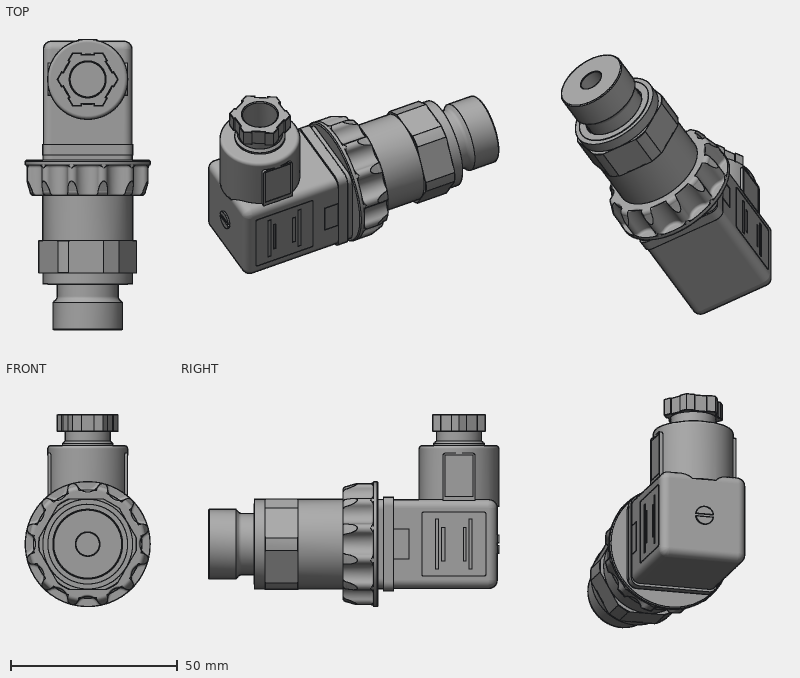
import cadquery as cq
import math


THREAD_RADIUS = 20.95 / 2
THREAD_CHAMFER = 0.3
THREAD_END = 8.2
UNDERCUT_RADIUS = 18.4 / 2
UNDERCUT_BLEND = 1.35
UNDERCUT_START = 10.0
SEAL_RADIUS = 23.9 / 2
SEAL_FACE = 13.6
SEAL_INNER_RADIUS = 9.65
SEAL_GAP_DEPTH = 1.0
COLLAR_FACE = 13.8
COLLAR_RADIUS = 26.9 / 2
BODY_RADIUS = 27.0 / 2
PORT_RADIUS = 7.0 / 2
PORT_MOUTH_RADIUS = 7.35 / 2
PORT_DEPTH = 12.0

HEX_START = 17.0
HEX_END = 26.8
HEX_ACROSS_FLATS = 27.1
HEX_CORNER_RADIUS = 14.7
HEX_EDGE_CHAMFER = 0.15
HEX_RELIEF_ANGLE = 60
HEX_RELIEF_DISTANCE = 14.07

NUT_FRONT = 40.25
NUT_FLANGE_START = 49.4
NUT_BACK = 50.85
NUT_FACE_RADIUS = 16.2
NUT_SHOULDER_RADIUS = 17.6
NUT_SHOULDER_END = 41.6
NUT_TAPER_END = 44.6
NUT_FLANGE_RADIUS = 37.49 / 2
NUT_LIP = 0.35
SCALLOP_COUNT = 12
SCALLOP_RADIUS = 7.35 / 2
SCALLOP_FLOOR = 15.6
SCALLOP_CENTER = SCALLOP_FLOOR + SCALLOP_RADIUS
SCALLOP_END_FILLET = 0.9
SCALLOP_FRONT_FILLET = 0.5
RIDGE_ANGLE = math.pi / SCALLOP_COUNT
NUT_RIDGE_TIP = 18.7
GRIP_CUTTER_RADIUS = 22.0

HOUSING_END = 86.5
HOUSING_SIDE = 26.6
HOUSING_FILLET = 2.5
HOUSING_END_FILLET = 2.49
NECK_SIDE = 26.8
NECK_CORNER = 3.0
BAND_START = 52.4
BAND_END = 55.5
BAND_WIDTH = 27.0
BAND_HEIGHT = 28.1
BAND_CORNER = 2.6

PANEL_SIDE = 19.2
PANEL_CENTER = 73.5
PANEL_CORNER = 0.6
PANEL_DEPTH = 0.1
BAR_DEPTH = 0.2
LONG_BAR = 15.0
SHORT_BAR = 10.0
BAR_WIDTH = 0.95
NARROW_BAR_WIDTH = 0.65
BARS = (
    (78.5, BAR_WIDTH, LONG_BAR),
    (76.75, NARROW_BAR_WIDTH, SHORT_BAR),
    (70.3, BAR_WIDTH, SHORT_BAR),
    (68.45, BAR_WIDTH, LONG_BAR),
)
LATCH_LENGTH = 4.5
LATCH_HEIGHT = 9.0
LATCH_DEPTH = 0.1

SCREW_RADIUS = 5.5 / 2
SCREW_SLOT = 0.8
TOTAL_LENGTH = 87.05
SCREW_HEIGHT = TOTAL_LENGTH - HOUSING_END

TOWER_RADIUS = 24.0 / 2
TOWER_Y = TOTAL_LENGTH - TOWER_RADIUS
TOWER_BOTTOM = 11.3
TOWER_TOP = 29.5
TOWER_FILLET = 1.0
PAD_REACH = 11.95
PAD_LENGTH = 9.7
PAD_TOP = 27.3
PAD_CORNER = 1.0
PAD_RIM = 0.65
PAD_WINDOW_BOTTOM = 14.3
PAD_WINDOW_DEPTH = 0.1

GLAND_FOOT_RADIUS = 15.15 / 2
GLAND_FOOT_TOP = 30.1
GLAND_CONE_TOP = 30.9
GLAND_NECK_RADIUS = 13.6 / 2
GLAND_NUT_BOTTOM = 33.7
TOTAL_HEIGHT = 57.53
GLAND_TOP = TOTAL_HEIGHT - NUT_FLANGE_RADIUS
GLAND_ACROSS_FLATS = 15.8
GLAND_NOTCH_WIDTH = 3.8
GLAND_NOTCH_DEPTH = 0.5
GLAND_EDGE_CHAMFER = 0.15
GLAND_BORE_RADIUS = 10.5 / 2
GLAND_MOUTH_RADIUS = 11.1 / 2
GLAND_BORE_DEPTH = 12.0

MOUTH_ANGLE = 45
HEX_SIDES = 6


def y_plane(y):
    """Sketch plane at the given y, extruding toward +Y; local y is Z."""
    return cq.Workplane(cq.Plane(origin=(0, y, 0), xDir=(-1, 0, 0), normal=(0, 1, 0)))


def hexagon(workplane, across_flats, height):
    """Hexagonal prism with corners on the local x axis."""
    return workplane.polygon(HEX_SIDES, across_flats / math.cos(math.pi / HEX_SIDES)).extrude(height)


def y_block(start, end, width, height, corner):
    """Block along Y with rounded long edges."""
    block = y_plane(start).rect(width, height).extrude(end - start)
    return block.edges("|Y").fillet(corner)


def both_sides(shape):
    """The shape together with its mirror image across x = 0."""
    return shape.union(shape.mirror("YZ"))


def make_body():
    blend_center = UNDERCUT_RADIUS + UNDERCUT_BLEND
    blend_points = [
        (
            blend_center - UNDERCUT_BLEND * math.cos(angle),
            UNDERCUT_START - UNDERCUT_BLEND * math.sin(angle),
        )
        for angle in (math.pi / 4, math.pi / 8, 0)
    ]
    profile = (
        cq.Workplane("XY")
        .lineTo(THREAD_RADIUS - THREAD_CHAMFER, 0)
        .lineTo(THREAD_RADIUS, THREAD_CHAMFER)
        .lineTo(THREAD_RADIUS, THREAD_END)
        .lineTo(*blend_points[0])
        .threePointArc(*blend_points[1:])
        .lineTo(UNDERCUT_RADIUS, SEAL_FACE + SEAL_GAP_DEPTH)
        .lineTo(SEAL_INNER_RADIUS, SEAL_FACE + SEAL_GAP_DEPTH)
        .lineTo(SEAL_INNER_RADIUS, SEAL_FACE)
        .lineTo(SEAL_RADIUS, SEAL_FACE)
        .lineTo(SEAL_RADIUS, COLLAR_FACE)
        .lineTo(COLLAR_RADIUS, COLLAR_FACE)
        .lineTo(COLLAR_RADIUS, HEX_START)
        .lineTo(BODY_RADIUS, HEX_START)
        .lineTo(BODY_RADIUS, NUT_BACK)
        .lineTo(0, NUT_BACK)
        .close()
    )
    return profile.revolve(360, (0, 0, 0), (0, 1, 0))


def make_wrench_hex():
    length = HEX_END - HEX_START
    prism = hexagon(y_plane(HEX_START), HEX_ACROSS_FLATS, length)
    turned = y_plane(HEX_START).circle(HEX_CORNER_RADIUS).extrude(length)
    hexagon_nut = prism.intersect(turned.edges().chamfer(HEX_EDGE_CHAMFER))
    relief = (
        cq.Workplane("XY")
        .box(HEX_CORNER_RADIUS, length, HEX_CORNER_RADIUS, centered=(False, False, True))
        .translate((HEX_RELIEF_DISTANCE, HEX_START, 0))
        .rotate((0, 0, 0), (0, 1, 0), -HEX_RELIEF_ANGLE)
    )
    return hexagon_nut.cut(relief)


def polar(radius, angle):
    """Point at the given angle from the local y axis."""
    return (radius * math.sin(angle), radius * math.cos(angle))


def ridge_round():
    """Radius and center distance of the ridge arc tangent to both scallops beside it."""
    cosine = math.cos(RIDGE_ANGLE)
    reach = NUT_RIDGE_TIP**2 + SCALLOP_CENTER**2 - 2 * NUT_RIDGE_TIP * SCALLOP_CENTER * cosine
    slope = SCALLOP_RADIUS + NUT_RIDGE_TIP - SCALLOP_CENTER * cosine
    radius = (reach - SCALLOP_RADIUS**2) / (2 * slope)
    return radius, NUT_RIDGE_TIP - radius


def make_grip_cutter():
    """Ring whose wavy bore leaves round ridges between the scallops, blending into the flange."""
    ridge_radius, ridge_center = ridge_round()
    x, height = polar(ridge_center, RIDGE_ANGLE)
    share = SCALLOP_RADIUS / (SCALLOP_RADIUS + ridge_radius)
    contact = (share * x, SCALLOP_CENTER + share * (height - SCALLOP_CENTER))
    contact_angle = math.atan2(*contact)
    contact_radius = math.hypot(*contact)
    step = 2 * RIDGE_ANGLE
    wave = y_plane(NUT_FRONT).moveTo(*polar(contact_radius, -contact_angle))
    for index in range(SCALLOP_COUNT):
        angle = index * step
        wave = wave.threePointArc(
            polar(SCALLOP_FLOOR, angle),
            polar(contact_radius, angle + contact_angle),
        )
        wave = wave.threePointArc(
            polar(NUT_RIDGE_TIP, angle + RIDGE_ANGLE),
            polar(contact_radius, angle + step - contact_angle),
        )
    length = NUT_FLANGE_START - NUT_FRONT
    core = wave.close().extrude(length).faces("<Y").edges().fillet(SCALLOP_FRONT_FILLET)
    ring = y_plane(NUT_FRONT).circle(GRIP_CUTTER_RADIUS).extrude(length).cut(core)
    bore_end = cq.selectors.BoxSelector(
        (-NUT_FLANGE_RADIUS, NUT_FLANGE_START - NUT_LIP, -NUT_FLANGE_RADIUS),
        (NUT_FLANGE_RADIUS, NUT_FLANGE_START + NUT_LIP, NUT_FLANGE_RADIUS),
        boundingbox=True,
    )
    return ring.edges(bore_end).fillet(SCALLOP_END_FILLET)


def make_union_nut():
    half_arc = math.sqrt(0.5)
    arc_middle = (
        NUT_FACE_RADIUS + half_arc * (NUT_SHOULDER_RADIUS - NUT_FACE_RADIUS),
        NUT_SHOULDER_END - half_arc * (NUT_SHOULDER_END - NUT_FRONT),
    )
    blank = (
        cq.Workplane("XY")
        .moveTo(0, NUT_FRONT)
        .lineTo(NUT_FACE_RADIUS, NUT_FRONT)
        .threePointArc(arc_middle, (NUT_SHOULDER_RADIUS, NUT_SHOULDER_END))
        .lineTo(NUT_RIDGE_TIP, NUT_TAPER_END)
        .lineTo(NUT_RIDGE_TIP, NUT_FLANGE_START)
        .lineTo(NUT_FLANGE_RADIUS, NUT_FLANGE_START + NUT_LIP)
        .lineTo(NUT_FLANGE_RADIUS, NUT_BACK - NUT_LIP)
        .lineTo(NUT_FLANGE_RADIUS - NUT_LIP, NUT_BACK)
        .lineTo(0, NUT_BACK)
        .close()
        .revolve(360, (0, 0, 0), (0, 1, 0))
    )
    return blank.cut(make_grip_cutter())


def make_housing():
    neck = y_block(NUT_BACK, BAND_START, NECK_SIDE, NECK_SIDE, NECK_CORNER)
    band = y_block(BAND_START, BAND_END, BAND_WIDTH, BAND_HEIGHT, BAND_CORNER)
    shell = y_block(BAND_END, HOUSING_END, HOUSING_SIDE, HOUSING_SIDE, HOUSING_FILLET)
    shell = shell.faces(">Y").edges().fillet(HOUSING_END_FILLET)
    return neck.union(band).union(shell)


def side_pocket(y, length, height, depth):
    """Cutter sunk to the given depth into the -X side of the housing."""
    return cq.Workplane("XY").box(2 * depth, length, height).translate((-HOUSING_SIDE / 2, y, 0))


def make_side_markings():
    panel = side_pocket(PANEL_CENTER, PANEL_SIDE, PANEL_SIDE, PANEL_DEPTH)
    markings = panel.edges("|X").fillet(PANEL_CORNER)
    for y, width, height in BARS:
        markings = markings.union(side_pocket(y, width, height, BAR_DEPTH))
    latch = side_pocket(BAND_END + LATCH_LENGTH / 2, LATCH_LENGTH, LATCH_HEIGHT, LATCH_DEPTH)
    return both_sides(markings.union(latch))


def make_screw():
    head = y_plane(HOUSING_END).circle(SCREW_RADIUS).extrude(SCREW_HEIGHT)
    slot = y_plane(HOUSING_END).rect(2 * SCREW_RADIUS, SCREW_SLOT).extrude(SCREW_HEIGHT)
    return head.cut(slot)


def make_tower():
    tower = (
        cq.Workplane("XY", origin=(0, TOWER_Y, TOWER_BOTTOM))
        .circle(TOWER_RADIUS)
        .extrude(TOWER_TOP - TOWER_BOTTOM)
        .faces(">Z")
        .edges()
        .fillet(TOWER_FILLET)
    )
    pads = (
        cq.Workplane("XY", origin=(0, TOWER_Y, TOWER_BOTTOM))
        .box(2 * PAD_REACH, PAD_LENGTH, PAD_TOP - TOWER_BOTTOM, centered=(True, True, False))
        .edges("|X and >Z")
        .fillet(PAD_CORNER)
    )
    window_height = PAD_TOP - PAD_RIM - PAD_WINDOW_BOTTOM
    window = (
        cq.Workplane("XY", origin=(-TOWER_RADIUS, TOWER_Y, PAD_WINDOW_BOTTOM))
        .box(
            2 * (TOWER_RADIUS - PAD_REACH + PAD_WINDOW_DEPTH),
            PAD_LENGTH - 2 * PAD_RIM,
            window_height,
            centered=(True, True, False),
        )
    )
    return tower.union(pads).cut(both_sides(window))


def make_gland():
    gland = (
        cq.Workplane("XZ")
        .moveTo(0, TOWER_TOP)
        .lineTo(GLAND_FOOT_RADIUS, TOWER_TOP)
        .lineTo(GLAND_FOOT_RADIUS, GLAND_FOOT_TOP)
        .lineTo(GLAND_NECK_RADIUS, GLAND_CONE_TOP)
        .lineTo(GLAND_NECK_RADIUS, GLAND_NUT_BOTTOM)
        .lineTo(0, GLAND_NUT_BOTTOM)
        .close()
        .revolve(360, (0, 0, 0), (0, 1, 0))
    )
    height = GLAND_TOP - GLAND_NUT_BOTTOM
    nut = hexagon(cq.Workplane("XY", origin=(0, 0, GLAND_NUT_BOTTOM)), GLAND_ACROSS_FLATS, height)
    notches = (
        cq.Workplane("XY", origin=(0, 0, GLAND_NUT_BOTTOM))
        .polarArray(GLAND_ACROSS_FLATS / 2, 180 / HEX_SIDES, 360, HEX_SIDES)
        .rect(2 * GLAND_NOTCH_DEPTH, GLAND_NOTCH_WIDTH)
        .extrude(height)
    )
    nut = nut.cut(notches).faces("<Z or >Z").edges().chamfer(GLAND_EDGE_CHAMFER)
    return gland.union(nut).translate((0, TOWER_Y, 0))


def mouth_bore(workplane, radius, mouth_radius, depth):
    """Blind bore with a 45 degree mouth, starting on the workplane."""
    chamfer = mouth_radius - radius
    bore = workplane.circle(radius).extrude(depth)
    mouth = workplane.circle(mouth_radius).extrude(chamfer, taper=MOUTH_ANGLE)
    return bore.union(mouth)


def make_port():
    return mouth_bore(y_plane(0), PORT_RADIUS, PORT_MOUTH_RADIUS, PORT_DEPTH)


def make_cable_bore():
    top = cq.Workplane("XY", origin=(0, TOWER_Y, GLAND_TOP)).transformed(rotate=(180, 0, 0))
    return mouth_bore(top, GLAND_BORE_RADIUS, GLAND_MOUTH_RADIUS, GLAND_BORE_DEPTH)


solid = make_body().union(make_wrench_hex()).union(make_union_nut())
solid = solid.union(make_housing().cut(make_side_markings())).union(make_screw())
solid = solid.union(make_tower()).union(make_gland())
result = solid.cut(make_port()).cut(make_cable_bore())